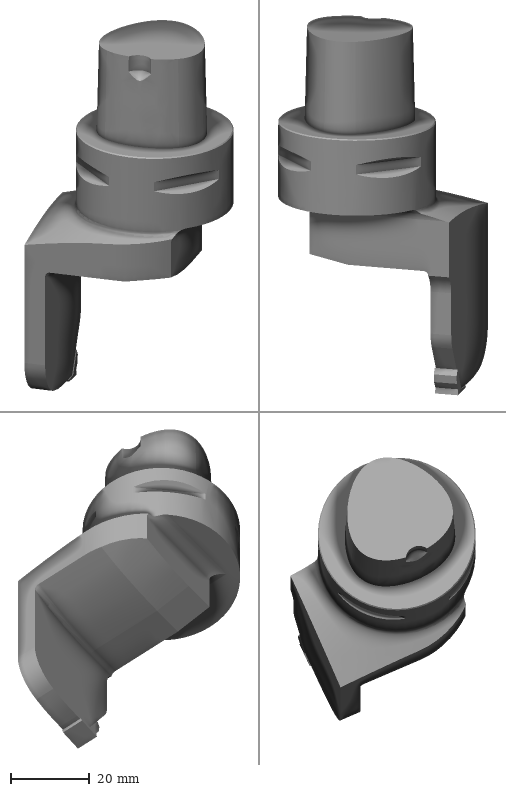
import cadquery as cq
import math


shank_top_z = 24.0
flange_top_z = -0.1
shank_length = shank_top_z - flange_top_z
shank_base_radius = 14.0
lobe_eccentricity = 0.9
taper_per_length = 1 / 20
lobe_face_half_angle = 20
points_per_shank_face = 9

notch_radius = 3.4
notch_axis_y = -14.0
notch_depth = 4.1

flange_radius = 20.0
flange_bottom_z = -20.0
flange_chamfer = 0.3
groove_floor_distance = 17.8
groove_floor_height = 2.4
groove_side_angle = 30
groove_z = -8.0

arm_left_x = -26.7
arm_right_x = 10.5
arm_front_y = -25.0
arm_back_y = 6.4
corner_radius = 23.5
corner_center_x = -4.9
flare_radius = 3.0
slab_thickness = 0.9

shoulder_angle = 15
shoulder_reach = 42.3
shoulder_top_z = -21.2
neck_radius = 1.1

underside_front_z = -32.4
underside_depth = 4.0
underside_start_angle = 20
underside_bend_x = 0.3
underside_rise_angle = 11
blade_thickness = 5.5
blade_root_radius = 1.2

blade_bottom_z = -69.0
relief_start_z = -37.6
relief_end_z = -42.2
blade_back_y = 4.5
tip_y = -2.8
nose_angle = 28
nose_radius = 8.0
heel_start_z = -57.9
heel_radius = 10.15
heel_sweep = 75

head_overhang = 0.3
insert_outline = [
    (-3.8, -56.4), (-9.4, -56.4), (-10.0, -57.15), (-10.0, -60.0),
    (-6.6, -68.9), (-6.1, -69.6), (0.0, -70.0), (-0.3, -68.5),
    (0.8, -66.8), (1.0, -64.8), (0.3, -63.4), (-1.5, -59.5), (-2.0, -58.4), (-2.7, -58.1),
]

blade_inner_x = arm_left_x + blade_thickness
far = 94.0


def polar(radius, degrees):
    angle = math.radians(degrees)
    return radius * math.cos(angle), radius * math.sin(angle)


def shank_point(mean_radius, degrees, z):
    """Point of the three-lobed curve, with one lobe toward +Y."""
    main_x, main_y = polar(mean_radius, degrees)
    lobe_x, lobe_y = polar(lobe_eccentricity, 2 * degrees)
    return cq.Vector(main_y - lobe_y, main_x + lobe_x, z)


def shank_wire(mean_radius, z):
    """Closed curve of six edges: a lobe edge and a flank edge, three times."""
    edges = []
    for lobe in (0, 120, 240):
        breaks = (lobe - lobe_face_half_angle, lobe + lobe_face_half_angle, lobe + 120 - lobe_face_half_angle)
        for start, end in zip(breaks, breaks[1:]):
            step = (end - start) / (points_per_shank_face - 1)
            angles = [start + i * step for i in range(points_per_shank_face)]
            edges.append(cq.Edge.makeSpline([shank_point(mean_radius, a, z) for a in angles]))
    return cq.Wire.assembleEdges(edges)


def make_shank():
    top_radius = shank_base_radius - shank_length * taper_per_length / 2
    wires = [shank_wire(shank_base_radius, flange_top_z), shank_wire(top_radius, shank_top_z)]
    return cq.Workplane(obj=cq.Solid.makeLoft(wires, True)).cut(make_notch())


def make_notch():
    edge_z = shank_top_z - notch_depth
    profile = (
        cq.Workplane("XZ", origin=(0, notch_axis_y, 0))
        .moveTo(0, shank_top_z)
        .lineTo(notch_radius, shank_top_z)
        .lineTo(notch_radius, edge_z)
        .lineTo(0, edge_z - notch_radius)
        .close()
    )
    return profile.revolve(360, (0, 0, 0), (0, 1, 0))


def make_flange():
    height = flange_top_z - flange_bottom_z
    flange = cq.Workplane("XY", origin=(0, 0, flange_bottom_z)).circle(flange_radius).extrude(height)
    flange = flange.faces(">Z").chamfer(flange_chamfer)
    for angle in (45, 135, 225, 315):
        flange = flange.cut(make_groove().rotate((0, 0, 0), (0, 0, 1), angle))
    return flange


def make_groove():
    """Straight groove with sloping sides, across the +X side of the flange."""
    floor_half = groove_floor_height / 2
    depth = flange_radius - groove_floor_distance
    mouth_half = floor_half + depth * math.tan(math.radians(groove_side_angle))
    profile = cq.Workplane("XZ").polyline([
        (groove_floor_distance, groove_z - floor_half),
        (flange_radius, groove_z - mouth_half),
        (flange_radius, groove_z + mouth_half),
        (groove_floor_distance, groove_z + floor_half),
    ])
    return profile.close().extrude(flange_radius, both=True)


def blade_side(width, start_x):
    """Side outline of the arm and blade, extruded along X up to the flange."""
    nose_corner_z = blade_bottom_z + (blade_back_y - tip_y) / math.tan(math.radians(nose_angle))
    nose_tangent = nose_radius * math.tan(math.radians(nose_angle / 2))
    nose_end_dy = nose_tangent * math.sin(math.radians(nose_angle))
    nose_end_dz = nose_tangent * math.cos(math.radians(nose_angle))
    heel_dy, heel_dz = polar(heel_radius, heel_sweep)
    middle_dy, middle_dz = polar(heel_radius, heel_sweep / 2)
    heel_center_y = arm_front_y + heel_radius
    heel_end = (heel_center_y - heel_dy, heel_start_z - heel_dz)
    shallow_drop = heel_end[1] - blade_bottom_z
    shallow_run = shallow_drop / math.tan(math.radians((90 - heel_sweep) / 2))
    return (
        cq.Workplane("YZ", origin=(start_x, 0, 0))
        .moveTo(arm_front_y, flange_bottom_z)
        .lineTo(arm_front_y, heel_start_z)
        .threePointArc((heel_center_y - middle_dy, heel_start_z - middle_dz), heel_end)
        .tangentArcPoint((heel_end[0] + shallow_run, blade_bottom_z), relative=False)
        .lineTo(tip_y, blade_bottom_z)
        .lineTo(blade_back_y - nose_end_dy, nose_corner_z - nose_end_dz)
        .tangentArcPoint((blade_back_y, nose_corner_z + nose_tangent), relative=False)
        .lineTo(blade_back_y, relief_end_z)
        .tangentArcPoint((arm_back_y, relief_start_z), relative=False)
        .lineTo(arm_back_y, flange_bottom_z)
        .close()
        .extrude(width)
    )


def make_flared_arm():
    """Arm blank hung from a slab, with its right and back walls flaring into the slab."""
    slab = cq.Workplane("XY").box(
        flange_radius - arm_left_x, flange_radius - arm_front_y, slab_thickness, centered=False
    ).translate((arm_left_x, arm_front_y, flange_bottom_z))
    blank = slab.union(blade_side(arm_right_x - arm_left_x, arm_left_x))
    middle_y = (arm_front_y + arm_back_y) / 2
    middle_x = (arm_left_x + arm_right_x) / 2
    right_edge = cq.selectors.NearestToPointSelector((arm_right_x, middle_y, flange_bottom_z))
    back_edge = cq.selectors.NearestToPointSelector((middle_x, arm_back_y, flange_bottom_z))
    return blank.edges(cq.selectors.SumSelector(right_edge, back_edge)).fillet(flare_radius)


def make_arm_plan():
    """Plan outline of the arm with its round corner."""
    center_y = arm_front_y + corner_radius
    middle_x, middle_y = polar(corner_radius, -45)
    return (
        cq.Workplane("XY", origin=(0, 0, -far))
        .moveTo(arm_left_x, arm_front_y)
        .lineTo(corner_center_x, arm_front_y)
        .threePointArc(
            (corner_center_x + middle_x, center_y + middle_y), (corner_center_x + corner_radius, center_y)
        )
        .lineTo(corner_center_x + corner_radius, flange_radius)
        .lineTo(arm_left_x, flange_radius)
        .close()
        .extrude(far)
    )


def make_shoulder():
    """Solid of revolution that bounds the arm from above: neck, neck fillet and cone."""
    slope = math.radians(shoulder_angle)
    tangent = neck_radius * math.tan((math.pi / 2 - slope) / 2)
    cone_start = (flange_radius + tangent * math.cos(slope), shoulder_top_z - tangent * math.sin(slope))
    cone_end_z = shoulder_top_z - (shoulder_reach - flange_radius) * math.tan(slope)
    return (
        cq.Workplane("XZ")
        .moveTo(0, 0)
        .lineTo(flange_radius, 0)
        .lineTo(flange_radius, shoulder_top_z + tangent)
        .tangentArcPoint(cone_start, relative=False)
        .lineTo(shoulder_reach, cone_end_z)
        .lineTo(shoulder_reach, -far)
        .lineTo(0, -far)
        .close()
        .revolve(360, (0, 0, 0), (0, 1, 0))
    )


def underside_prism(start_x, end_x):
    """Space below the curved underside, which falls from the front edge and levels out."""
    radius = underside_depth / (1 - math.cos(math.radians(underside_start_angle)))
    level_y = arm_front_y + radius * math.sin(math.radians(underside_start_angle))
    level_z = underside_front_z - underside_depth
    middle_dz, middle_dy = polar(radius, underside_start_angle / 2)
    return (
        cq.Workplane("YZ", origin=(start_x, 0, 0))
        .moveTo(arm_front_y, underside_front_z)
        .threePointArc((level_y - middle_dy, level_z + radius - middle_dz), (level_y, level_z))
        .lineTo(flange_radius, level_z)
        .lineTo(flange_radius, -far)
        .lineTo(arm_front_y, -far)
        .close()
        .extrude(end_x - start_x)
    )


def make_underside_space():
    """Space to the right of the blade: level along X at first, then rising."""
    level = underside_prism(blade_inner_x, far)
    root_edge = level.faces("<X").edges("%CIRCLE")
    level = root_edge.fillet(blade_root_radius)
    bend_z = underside_front_z - underside_depth
    rising = underside_prism(underside_bend_x, far).rotate(
        (underside_bend_x, 0, bend_z), (underside_bend_x, 1, bend_z), -underside_rise_angle
    )
    return level.union(rising)


def make_holder():
    arm = make_flared_arm().intersect(make_arm_plan()).intersect(make_shoulder())
    arm = arm.cut(make_underside_space())
    return make_flange().union(make_shank()).union(arm).cut(insert_prism(0))


def insert_prism(overhang):
    """Insert outline across the blade, standing out from both sides of it by the overhang."""
    profile = cq.Workplane("YZ", origin=(arm_left_x - overhang, 0, 0)).polyline(insert_outline)
    return profile.close().extrude(blade_thickness + 2 * overhang)


def make_insert():
    """Insert flush with the blade, with a wider head where it stands out of the blade outline."""
    head_width = blade_thickness + 2 * head_overhang
    head = insert_prism(head_overhang).cut(blade_side(head_width, arm_left_x - head_overhang))
    return insert_prism(0).union(head)


holder = make_holder()
insert = make_insert()

result = cq.Compound.makeCompound([holder.solids().val(), insert.solids().val()])